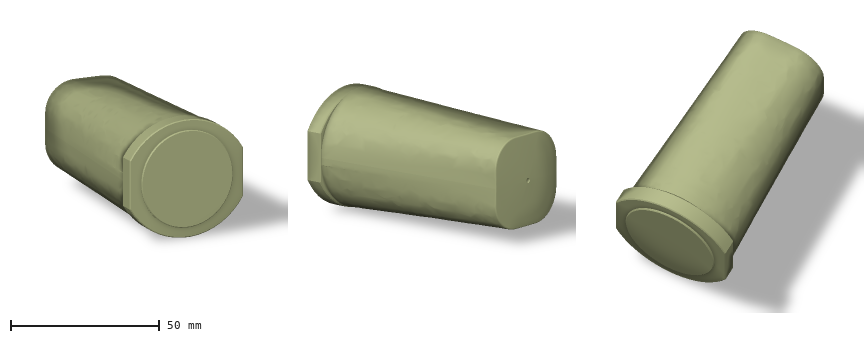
import cadquery as cq
import math

AXIS_TILT = 2.0

ROOT_RADIUS = 20.5
TIP_HALF_WIDTH = 15.9
TIP_CORNER_RADIUS = 10.5
TIP_TO_COLLAR = 73.5
DOME_RADIUS = 161.4
TIP_FILLET = 0.5
OUTLINE_STEPS = 24
DIMPLE_DIAMETER = 1.8

COLLAR_THICKNESS = 5.9
COLLAR_HALF_HEIGHT = 41.1 / 2
COLLAR_HALF_WIDTH = 21.0
COLLAR_FLAT_HALF_HEIGHT = 8.5
COLLAR_CHAMFER = 0.3

DISC_RADIUS = 16.95
DISC_THICKNESS = 0.65
DISC_CHAMFER = 0.3


def tip_reach(angle):
    """Distance from the axis to the rounded-square outline, at an angle from +Y."""
    quarter_angle = angle % (math.pi / 2)
    from_side = min(quarter_angle, math.pi / 2 - quarter_angle)
    corner_centre = TIP_HALF_WIDTH - TIP_CORNER_RADIUS
    if math.tan(from_side) <= corner_centre / TIP_HALF_WIDTH:
        return TIP_HALF_WIDTH / math.cos(from_side)
    along = corner_centre * (math.cos(from_side) + math.sin(from_side))
    return along + math.sqrt(along**2 - 2 * corner_centre**2 + TIP_CORNER_RADIUS**2)


def root_reach(angle):
    """Distance from the axis to the round outline, the same at every angle."""
    return ROOT_RADIUS


def half_outline(x, reach, start):
    """Smooth half turn of an outline across the axis, from angle `start`."""
    points = []
    for step in range(OUTLINE_STEPS + 1):
        angle = start + math.pi * step / OUTLINE_STEPS
        radius = reach(angle)
        points.append(cq.Vector(x, radius * math.cos(angle), radius * math.sin(angle)))
    end_direction = cq.Vector(0, 0, math.cos(start))
    return cq.Edge.makeSpline(points, tangents=[end_direction, -end_direction])


def outline(x, reach):
    """Closed outline in two halves that join on the +Y and -Y sides."""
    return cq.Wire.assembleEdges([half_outline(x, reach, start) for start in (0, math.pi)])


def make_housing():
    taper = cq.Solid.makeLoft([outline(-TIP_TO_COLLAR, tip_reach), outline(0, root_reach)], True)
    dome_centre = (DOME_RADIUS - TIP_TO_COLLAR, 0, 0)
    dome = cq.Workplane("XY").sphere(DOME_RADIUS).translate(dome_centre)
    dimple = cq.Workplane("YZ", origin=(-TIP_TO_COLLAR, 0, 0)).sphere(DIMPLE_DIAMETER / 2)
    return (
        cq.Workplane(taper)
        .intersect(dome)
        .faces("<X")
        .edges()
        .fillet(TIP_FILLET)
        .cut(dimple)
    )


def make_collar():
    return (
        cq.Workplane("YZ")
        .moveTo(COLLAR_HALF_WIDTH, -COLLAR_FLAT_HALF_HEIGHT)
        .lineTo(COLLAR_HALF_WIDTH, COLLAR_FLAT_HALF_HEIGHT)
        .threePointArc((0, COLLAR_HALF_HEIGHT), (-COLLAR_HALF_WIDTH, COLLAR_FLAT_HALF_HEIGHT))
        .lineTo(-COLLAR_HALF_WIDTH, -COLLAR_FLAT_HALF_HEIGHT)
        .threePointArc((0, -COLLAR_HALF_HEIGHT), (COLLAR_HALF_WIDTH, -COLLAR_FLAT_HALF_HEIGHT))
        .close()
        .extrude(COLLAR_THICKNESS)
        .faces("<X or >X")
        .chamfer(COLLAR_CHAMFER)
    )


def make_disc():
    return (
        cq.Workplane("YZ", origin=(COLLAR_THICKNESS, 0, 0))
        .circle(DISC_RADIUS)
        .extrude(DISC_THICKNESS)
        .faces(">X")
        .chamfer(DISC_CHAMFER)
    )


def tilt(body):
    return body.rotate((0, 0, 0), (0, 0, 1), AXIS_TILT)


housing = tilt(make_housing())
collar = tilt(make_collar())
end_disc = tilt(make_disc())

result = cq.Compound.makeCompound([housing.val(), collar.val(), end_disc.val()])